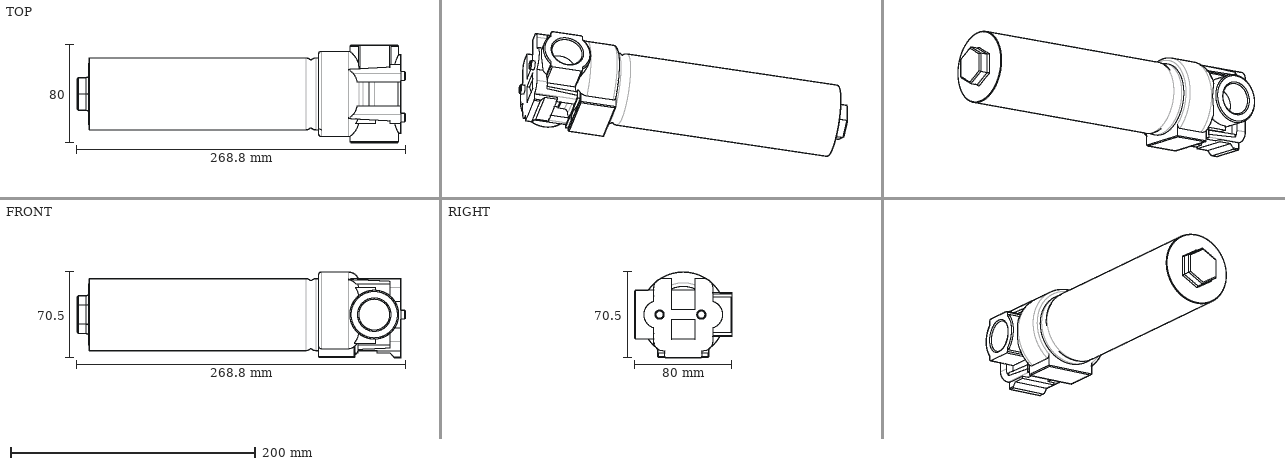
import cadquery as cq
import math

length = 268.8
height = 70.5

hex_flats = 27.0
hex_edge = 1.0
hex_flare = 0.8
hex_flare_start = 7.5
hex_flare_length = 2.0
bowl_start = 9.7
end_crown = 0.8
bowl_radius = 29.5
bowl_edge = 0.5
groove_start = 187.5
groove_end = 195.5
groove_depth = 1.5

collar_start = 197.5
collar_end = 222.0
collar_radius = 35.0
collar_edge = 2.5
shoulder_radius = 9.0
barrel_radius = 23.0
barrel_end = 239.0

port_x = 243.3
port_radius = 40.0 / 2
port_reach = 40.0
port_edge = 1.0
bore_radius = 12.6
bore_depth = 24.2
bore_chamfer = 1.0
pad_start = 230.5
pad_end = 257.0
pad_edge = 1.0
pad_half_height = 18.0

head_end = 265.0
flange_start = 256.2
rail_inner = 9.7
rail_top = 29.5
rail_thickness = 4.5
rail_outer_start = 20.2
rail_outer_end = 22.0
web_outer = 17.7
flange_outer = 24.2
flange_corner = 7.5
lug_outer = 32.3
lug_radius = 11.3
bar_half_height = 4.0

gusset_start = 227.2
gusset_end = 244.5
gusset_reach = 24.2
gusset_top = 22.0
gusset_bottom = 23.7

mount_length = 30.0
mount_half_width = 21.0
mount_edge = 0.8
mount_lift = 0.3
mount_step_length = 2.2
foot_half_width = 15.3
foot_bottom = height - collar_radius
foot_edge = 0.8
foot_rib_bottom = 31.5
foot_rib_start = 245.5
foot_toe_start = 260.0

screw_radius = 3.8
screw_edge = 0.8
screw_places = (14.8, -19.4)


def block(x_range, y_range, z_range):
    """Box between the given limits on each axis."""
    size = [high - low for low, high in (x_range, y_range, z_range)]
    corner = (x_range[0], y_range[0], z_range[0])
    return cq.Workplane("XY").box(*size, centered=False).translate(corner)


def hexagon_prism(flats, start, end, taper=0):
    """Hexagon along X with two corners pointing along Z."""
    corner_diameter = flats / math.cos(math.pi / 6)
    prism = (
        cq.Workplane("YZ", origin=(start, 0, 0))
        .polygon(6, corner_diameter)
        .extrude(end - start, taper=taper)
    )
    return prism.rotate((0, 0, 0), (1, 0, 0), 90)


def drain_hexagon():
    """Hexagon on the bowl end, chamfered at its tip and flared at its base."""
    hexagon = hexagon_prism(hex_flats, 0, bowl_start).faces("<X").edges().chamfer(hex_edge)
    flare_angle = math.degrees(math.atan2(hex_flare, hex_flare_length))
    flare = hexagon_prism(
        hex_flats, hex_flare_start, hex_flare_start + hex_flare_length, -flare_angle
    )
    return hexagon.union(flare)


def turned_body():
    """Bowl, groove, collar and shoulder revolved about the X axis."""
    groove_radius = bowl_radius - groove_depth
    groove_middle = (groove_start + groove_end) / 2
    shoulder_end = collar_end + shoulder_radius
    shoulder_foot = collar_radius - shoulder_radius
    barrel_fillet = shoulder_foot - barrel_radius
    outline = (
        cq.Workplane("XY")
        .moveTo(bowl_start - end_crown, 0)
        .lineTo(bowl_start, bowl_radius - bowl_edge)
        .lineTo(bowl_start + bowl_edge, bowl_radius)
        .lineTo(groove_start, bowl_radius)
        .spline(
            [(groove_middle, groove_radius), (groove_end, bowl_radius)],
            tangents=[(1, 0), (1, 0)],
            includeCurrent=True,
        )
        .lineTo(collar_start, bowl_radius)
        .lineTo(collar_start, collar_radius - collar_edge)
        .radiusArc((collar_start + collar_edge, collar_radius), collar_edge)
        .lineTo(collar_end, collar_radius)
        .radiusArc((shoulder_end, shoulder_foot), shoulder_radius)
        .radiusArc((shoulder_end + barrel_fillet, barrel_radius), -barrel_fillet)
        .lineTo(barrel_end, barrel_radius)
        .lineTo(barrel_end, 0)
        .close()
    )
    return outline.revolve(360, (0, 0, 0), (1, 0, 0))


def port_bosses():
    """Port cylinder along Y, flattened and squared on its +Y half, level between the rails."""
    cylinder = (
        cq.Workplane("XZ", origin=(port_x, 0, 0))
        .circle(port_radius)
        .extrude(port_reach, both=True)
        .faces("<Y or >Y")
        .edges()
        .chamfer(port_edge)
    )
    flats_waste = block(
        (port_x - port_radius, port_x + port_radius),
        (web_outer, port_reach),
        (pad_half_height, port_radius),
    )
    pad = (
        block((pad_start, pad_end), (web_outer, port_reach), (-pad_half_height, pad_half_height))
        .edges("|Y")
        .chamfer(pad_edge)
    )
    level_block = block(
        (barrel_end, port_x),
        (-rail_inner, rail_inner),
        (-port_radius, port_radius),
    )
    flattened = cylinder.cut(flats_waste).cut(flats_waste.mirror("XY"))
    return flattened.union(pad).union(level_block)


def port_bore(side):
    """Blind bore with a countersunk mouth; side is +1 for +Y and -1 for -Y."""
    floor = port_reach - bore_depth
    mouth_radius = bore_radius + bore_chamfer
    outline = (
        cq.Workplane("XY")
        .moveTo(0, floor)
        .lineTo(bore_radius, floor)
        .lineTo(bore_radius, port_reach - bore_chamfer)
        .lineTo(mouth_radius, port_reach)
        .lineTo(0, port_reach)
        .close()
    )
    bore = outline.revolve(360, (0, 0, 0), (0, 1, 0)).translate((port_x, 0, 0))
    return bore if side > 0 else bore.mirror("XZ")


def head_quarter():
    """Quarter of the head at +Y, +Z: a hollowed rail, its flange end and half a screw lug."""
    flange_top = flange_outer - flange_corner
    lug_centre = lug_outer - lug_radius
    rail = (
        cq.Workplane("YZ", origin=(collar_end, 0, 0))
        .moveTo(rail_inner, 0)
        .lineTo(flange_outer, 0)
        .lineTo(flange_outer, rail_top - flange_corner)
        .radiusArc((flange_top, rail_top), -flange_corner)
        .lineTo(rail_inner, rail_top)
        .close()
        .extrude(head_end - collar_end)
    )
    hollow = block(
        (collar_end, flange_start),
        (web_outer, flange_outer),
        (0, rail_top - rail_thickness),
    )
    side_taper = (
        cq.Workplane("XY")
        .moveTo(collar_end, rail_outer_start)
        .lineTo(flange_start, rail_outer_end)
        .lineTo(flange_start, flange_outer)
        .lineTo(collar_end, flange_outer)
        .close()
        .extrude(rail_top)
    )
    lug = (
        cq.Workplane("YZ", origin=(flange_start, lug_centre, 0))
        .circle(lug_radius)
        .extrude(head_end - flange_start)
    )
    return rail.cut(hollow).cut(side_taper).union(lug)


def port_gusset():
    """Block showing above and below the -Y port, beside the rails."""
    return block(
        (gusset_start, gusset_end),
        (-gusset_reach, -rail_inner),
        (-gusset_bottom, gusset_top),
    )


def mounting_pad():
    """Rectangular pad under the collar, with a low step behind it."""
    mount_end = collar_start + mount_length
    pad = block(
        (collar_start, mount_end),
        (-mount_half_width, mount_half_width),
        (mount_lift - foot_bottom, -barrel_radius),
    ).faces("<Z or >X").edges().chamfer(mount_edge)
    step = block(
        (mount_end, mount_end + mount_step_length),
        (-mount_half_width, mount_half_width),
        (-foot_rib_bottom, -barrel_radius),
    )
    return pad.union(step)


def foot():
    """Foot across the lower rails, sloping down to a toe at the end of the head."""
    outline = (
        cq.Workplane("XZ")
        .moveTo(foot_rib_start, -port_radius)
        .lineTo(foot_rib_start, -foot_rib_bottom)
        .lineTo(flange_start, -foot_rib_bottom)
        .lineTo(foot_toe_start, -foot_bottom)
        .lineTo(head_end, -foot_bottom)
        .lineTo(head_end, -port_radius)
        .close()
    )
    return outline.extrude(foot_half_width, both=True).faces("<Z").edges("|X").chamfer(foot_edge)


def screw_head(y):
    """Round screw head standing on the end of the head."""
    return (
        cq.Workplane("YZ", origin=(head_end, y, 0))
        .circle(screw_radius)
        .extrude(length - head_end)
        .faces(">X")
        .edges()
        .chamfer(screw_edge)
    )


result = turned_body().union(drain_hexagon()).union(port_bosses())

quarter = head_quarter()
upper = quarter.union(quarter.mirror("XZ"))
result = result.union(upper).union(upper.mirror("XY")).union(port_gusset())

screw_bar = block(
    (flange_start, head_end),
    (-rail_inner, rail_inner),
    (-bar_half_height, bar_half_height),
)
result = result.union(screw_bar).union(mounting_pad()).union(foot())

for y_place in screw_places:
    result = result.union(screw_head(y_place))

for port_side in (-1, 1):
    result = result.cut(port_bore(port_side))